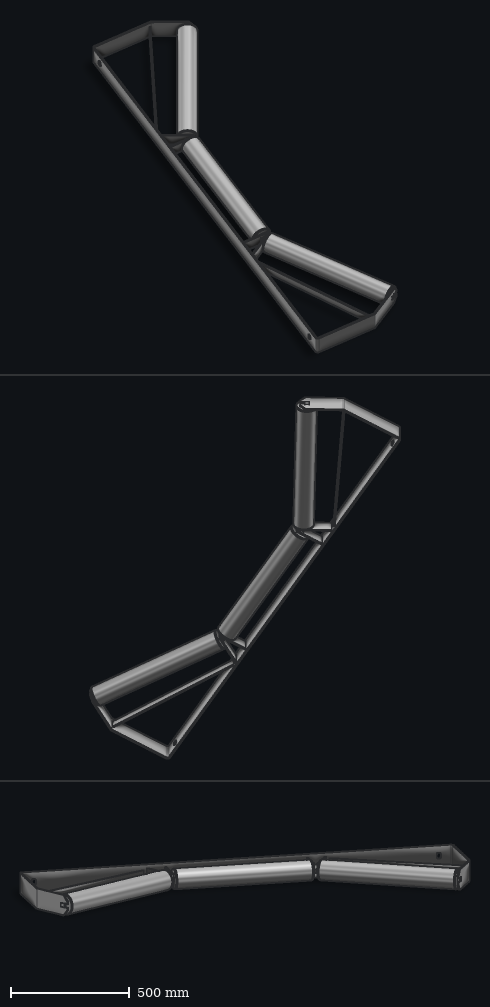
import cadquery as cq
import math

FRAME_LENGTH = 1890.0
STRIP_WIDTH = 89.0
SHEET = 6.0
BEND_RADIUS = 12.1
ROLLER_TILT = 30.0

ROLLER_DIAMETER = STRIP_WIDTH
ROLLER_LENGTH = 601.0
ROLLER_CHAMFER_LENGTH = 5.0
ROLLER_CHAMFER_DEPTH = 2.0
ROLLER_GAP = 5.0
SHAFT_WIDTH = 17.0
SHAFT_HEIGHT = 19.0
CENTRE_ROLLER_Y = 105.0
SIDE_ROLLER_X = 597.0
SIDE_ROLLER_Y = 263.0

FRAME_TIP_LENGTH = 183.0
TIP_CORNER_LENGTH = 23.0
TIP_CORNER_DEPTH = 26.0
MOUNT_HOLE_X = 883.0
MOUNT_HOLE_WIDTH = 19.0
MOUNT_HOLE_HEIGHT = 26.0

BRACKET_WIDTH = 57.0
BRACKET_TOP = 130.0

BRACE_WIDTH = 40.0
BRACE_INNER_X = 418.0
BRACE_ANGLE = 27.2

HALF_LENGTH = FRAME_LENGTH / 2
HALF_WIDTH = STRIP_WIDTH / 2
COS_TILT = math.cos(math.radians(ROLLER_TILT))
SIN_TILT = math.sin(math.radians(ROLLER_TILT))
TAN_TILT = math.tan(math.radians(ROLLER_TILT))
SUPPORT_OFFSET = ROLLER_LENGTH / 2 + ROLLER_GAP
SHAFT_LENGTH = 2 * (SUPPORT_OFFSET + SHEET)


def plate(points, width):
    """Strip of the given width along Z, centred on Z = 0, with the given outline in XY."""
    return cq.Workplane("XY").polyline(points).close().extrude(width / 2, both=True)


def on_side_roller(shape):
    """Move a shape laid out along X about the origin onto the right side roller's axis."""
    tilted = shape.rotate((0, 0, 0), (0, 0, 1), ROLLER_TILT)
    return tilted.translate((SIDE_ROLLER_X, SIDE_ROLLER_Y, 0))


def side_support_x(offset, y):
    """X at height y on a plane square to the side roller, at an offset along its axis."""
    return SIDE_ROLLER_X + offset / COS_TILT - (y - SIDE_ROLLER_Y) * TAN_TILT


def mirrored(shape):
    return shape.mirror("YZ")


def make_roller():
    radius = ROLLER_DIAMETER / 2
    end_radius = radius - ROLLER_CHAMFER_DEPTH
    chamfer_x = ROLLER_LENGTH / 2 - ROLLER_CHAMFER_LENGTH
    profile = [
        (-ROLLER_LENGTH / 2, 0),
        (-ROLLER_LENGTH / 2, end_radius),
        (-chamfer_x, radius),
        (chamfer_x, radius),
        (ROLLER_LENGTH / 2, end_radius),
        (ROLLER_LENGTH / 2, 0),
    ]
    drum = cq.Workplane("XZ").polyline(profile).close().revolve(360, (0, 0, 0), (1, 0, 0))
    shaft = cq.Workplane("XY").box(SHAFT_LENGTH, SHAFT_HEIGHT, SHAFT_WIDTH)
    return drum.union(shaft)


def shaft_slot(end):
    """Open slot that a shaft end drops into; end is +1 or -1 along the roller axis."""
    depth = ROLLER_DIAMETER
    slot = cq.Workplane("XY").box(2 * SHEET, depth, SHAFT_WIDTH)
    return slot.translate((end * (SUPPORT_OFFSET + SHEET / 2), (depth - SHAFT_HEIGHT) / 2, 0))


def tip_corners(outer_tip):
    """The two triangular corners removed from the right frame tip."""
    corner = (
        cq.Workplane("YZ")
        .polyline([(0, HALF_WIDTH), (0, HALF_WIDTH - TIP_CORNER_DEPTH), (-TIP_CORNER_LENGTH, HALF_WIDTH)])
        .close()
        .extrude(2 * SHEET, both=True)
        .rotate((0, 0, 0), (0, 0, 1), ROLLER_TILT)
        .translate((*outer_tip, 0))
    )
    return corner.union(corner.mirror("XY"))


def vertical_edges(shape, corners):
    """The edges along Z that stand on the given (x, y) corners of the right half and their mirror images."""
    chosen = []
    for edge in shape.edges("|Z").vals():
        place = edge.Center()
        if any(math.hypot(abs(place.x) - x, place.y - y) < SHEET / 10 for x, y in corners):
            chosen.append(edge)
    return shape.newObject(chosen)


def make_frame():
    bend_y = SIDE_ROLLER_Y + (side_support_x(SUPPORT_OFFSET + SHEET, SIDE_ROLLER_Y) - HALF_LENGTH) / TAN_TILT
    inner_x = HALF_LENGTH - SHEET
    inner_bend_y = bend_y - SHEET * math.tan(math.radians(ROLLER_TILT / 2))
    outer_corners = [(HALF_LENGTH, 0), (HALF_LENGTH, bend_y)]
    inner_corners = [(inner_x, inner_bend_y), (inner_x, SHEET)]
    outer_tip = (HALF_LENGTH - FRAME_TIP_LENGTH * SIN_TILT, bend_y + FRAME_TIP_LENGTH * COS_TILT)
    inner_tip = (outer_tip[0] - SHEET * COS_TILT, outer_tip[1] - SHEET * SIN_TILT)
    right_half = [*outer_corners, outer_tip, inner_tip, *inner_corners]
    left_half = [(-x, y) for x, y in reversed(right_half)]
    frame = plate(right_half + left_half, STRIP_WIDTH)

    frame = vertical_edges(frame, outer_corners).fillet(BEND_RADIUS)
    frame = vertical_edges(frame, inner_corners).fillet(BEND_RADIUS - SHEET)

    for cutter in (on_side_roller(shaft_slot(1)), tip_corners(outer_tip)):
        frame = frame.cut(cutter).cut(mirrored(cutter))
    holes = (
        cq.Workplane("XZ")
        .pushPoints([(-MOUNT_HOLE_X, 0), (MOUNT_HOLE_X, 0)])
        .slot2D(MOUNT_HOLE_HEIGHT, MOUNT_HOLE_WIDTH, 90)
        .extrude(-SHEET)
    )
    return frame.cut(holes)


def make_bracket():
    near_x = SUPPORT_OFFSET
    far_x = SUPPORT_OFFSET + SHEET
    fold_y = BRACKET_TOP - SHEET
    outline = [
        (near_x, SHEET),
        (near_x, BRACKET_TOP),
        (side_support_x(-SUPPORT_OFFSET, BRACKET_TOP), BRACKET_TOP),
        (side_support_x(-SUPPORT_OFFSET, SHEET), SHEET),
        (side_support_x(-SUPPORT_OFFSET - SHEET, SHEET), SHEET),
        (side_support_x(-SUPPORT_OFFSET - SHEET, fold_y), fold_y),
        (far_x, fold_y),
        (far_x, SHEET),
    ]
    bracket = plate(outline, BRACKET_WIDTH)
    bracket = bracket.cut(shaft_slot(1).translate((0, CENTRE_ROLLER_Y, 0)))
    return bracket.cut(on_side_roller(shaft_slot(-1)))


def make_brace():
    angle = math.radians(BRACE_ANGLE)
    upright_x = HALF_LENGTH - SHEET
    lower_y = SHEET + (upright_x - BRACE_INNER_X) * math.tan(angle)
    outline = [
        (BRACE_INNER_X, SHEET),
        (upright_x, lower_y),
        (upright_x, lower_y + SHEET / math.cos(angle)),
        (BRACE_INNER_X - SHEET / math.sin(angle), SHEET),
    ]
    return plate(outline, BRACE_WIDTH)


frame = make_frame()
centre_roller = make_roller().translate((0, CENTRE_ROLLER_Y, 0))
side_roller = on_side_roller(make_roller())
bracket = make_bracket()
brace = make_brace()

bodies = [frame, centre_roller]
for right_body in (side_roller, bracket, brace):
    bodies += [right_body, mirrored(right_body)]
result = cq.Compound.makeCompound([body.val() for body in bodies])